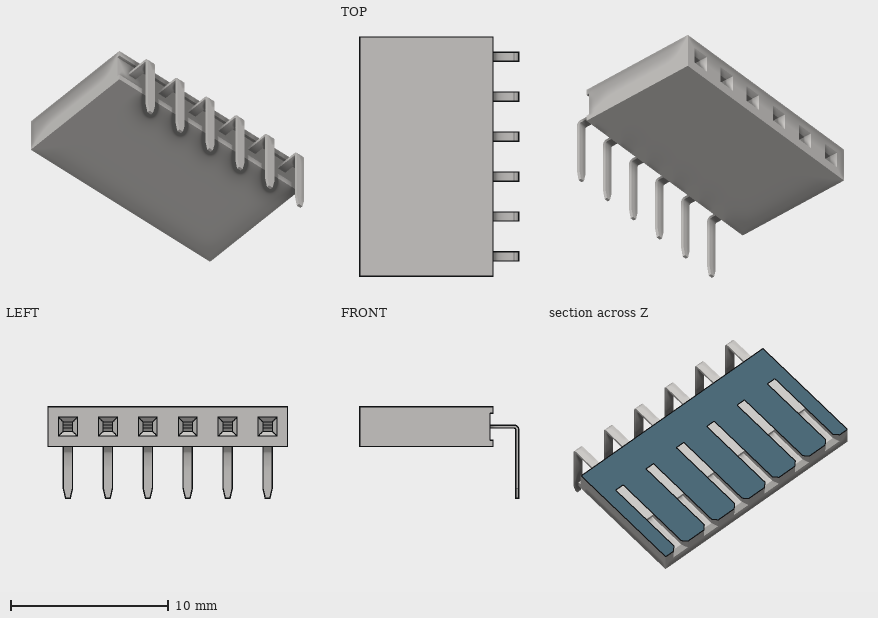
import cadquery as cq

pin_count = 6
pitch = 2.54
housing_length = 8.5
housing_width = pin_count * pitch
housing_height = pitch

recess_depth = 0.2
rear_lip_height = 0.42
recess_height = housing_height - 2 * rear_lip_height

lead_in_size = 1.2
bore_size = 0.6
lead_in_depth = 0.3
bore_end_x = 6.0

pin_thickness = 0.2
pin_width = 0.6
pin_tip_width = 0.3
pin_taper_length = 0.64
pin_start_x = 3.0
pin_back_x = 10.13
pin_drop = 3.3
bend_outer_radius = 0.3
bend_inner_radius = bend_outer_radius - pin_thickness

pin_top_z = pin_thickness / 2
pin_tip_z = -housing_height / 2 - pin_drop
pin_positions = [(i - (pin_count - 1) / 2) * pitch for i in range(pin_count)]


def make_housing():
    """Rectangular block with a shallow recess across its rear face."""
    block = cq.Workplane("XY").box(
        housing_length, housing_width, housing_height, centered=(False, True, True)
    )
    recess = (
        cq.Workplane("XY")
        .box(recess_depth, housing_width, recess_height, centered=(False, True, True))
        .translate((housing_length - recess_depth, 0, 0))
    )
    return block.cut(recess)


def make_socket(y):
    """Cutter for one socket: pyramidal lead-in and square bore."""
    lead_in = (
        cq.Workplane("YZ", origin=(0, y, 0))
        .rect(lead_in_size, lead_in_size)
        .workplane(offset=lead_in_depth)
        .rect(bore_size, bore_size)
        .loft(ruled=True)
    )
    bore = (
        cq.Workplane("YZ", origin=(lead_in_depth, y, 0))
        .rect(bore_size, bore_size)
        .extrude(bore_end_x - lead_in_depth)
    )
    return lead_in.union(bore)


def make_pin(y):
    """Strip bent down by a right angle, its tail tapered in width."""
    strip = (
        cq.Workplane("XZ", origin=(0, y + pin_width / 2, 0))
        .moveTo(pin_start_x, pin_top_z)
        .lineTo(pin_back_x - bend_outer_radius, pin_top_z)
        .radiusArc((pin_back_x, pin_top_z - bend_outer_radius), bend_outer_radius)
        .lineTo(pin_back_x, pin_tip_z)
        .lineTo(pin_back_x - pin_thickness, pin_tip_z)
        .lineTo(pin_back_x - pin_thickness, pin_top_z - bend_outer_radius)
        .radiusArc(
            (pin_back_x - bend_outer_radius, pin_top_z - pin_thickness), -bend_inner_radius
        )
        .lineTo(pin_start_x, pin_top_z - pin_thickness)
        .close()
        .extrude(pin_width)
    )
    taper_top_z = pin_tip_z + pin_taper_length
    width_outline = (
        cq.Workplane("YZ", origin=(0, y, 0))
        .moveTo(-pin_tip_width / 2, pin_tip_z)
        .lineTo(pin_tip_width / 2, pin_tip_z)
        .lineTo(pin_width / 2, taper_top_z)
        .lineTo(pin_width / 2, pin_top_z)
        .lineTo(-pin_width / 2, pin_top_z)
        .lineTo(-pin_width / 2, taper_top_z)
        .close()
        .extrude(pin_back_x)
    )
    return strip.intersect(width_outline)


result = make_housing()
for pin_y in pin_positions:
    result = result.cut(make_socket(pin_y))
for pin_y in pin_positions:
    result = result.union(make_pin(pin_y))